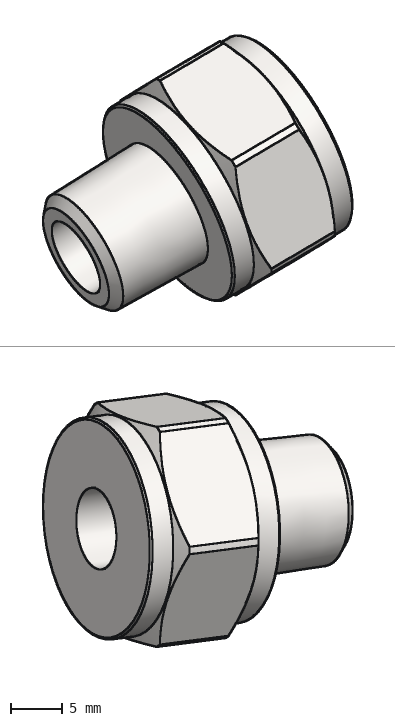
import cadquery as cq
import math

total_length = 25.5
spigot_length = 11.0
collar_length = 2.5

across_flats = 22.0
corner_diameter = 25.0
hex_chamfer_angle = 30.0

collar_diameter = 21.78
collar_chamfer = 0.2
spigot_base_diameter = 13.45
spigot_end_diameter = 12.93
spigot_chamfer = 1.0
bore_diameter = 8.0

body_length = total_length - spigot_length
hex_start = spigot_length + collar_length
hex_end = total_length - collar_length
hex_length = hex_end - hex_start


def revolve_profile(points):
    """Revolve a closed (radius, axial position) outline about the Y axis."""
    return cq.Workplane("XY").polyline(points).close().revolve(360, (0, 0, 0), (0, 1, 0))


def cylinder(diameter, start, length):
    """Round bar along +Y, starting at the given axial position."""
    return cq.Workplane("XZ", origin=(0, start, 0)).circle(diameter / 2).extrude(-length)


def make_spigot():
    """Tapered spigot with a chamfered tip."""
    base_radius = spigot_base_diameter / 2
    end_radius = spigot_end_diameter / 2
    return revolve_profile([
        (0, 0),
        (end_radius - spigot_chamfer, 0),
        (end_radius, spigot_chamfer),
        (base_radius, spigot_length),
        (0, spigot_length),
    ])


def make_collars():
    """Round body that shows as a collar on each side of the hexagon."""
    body = cylinder(collar_diameter, spigot_length, body_length)
    return body.faces("<Y or >Y").chamfer(collar_chamfer)


def make_hexagon():
    """Hexagon with turned corners and a conical chamfer at both ends."""
    across_corners = across_flats / math.cos(math.radians(30))
    prism = (
        cq.Workplane("XZ", origin=(0, hex_start, 0))
        .polygon(6, across_corners)
        .extrude(-hex_length)
    )
    inner_radius = collar_diameter / 2
    outer_radius = corner_diameter / 2
    chamfer_depth = (outer_radius - inner_radius) * math.tan(math.radians(hex_chamfer_angle))
    envelope = revolve_profile([
        (0, hex_start),
        (inner_radius, hex_start),
        (outer_radius, hex_start + chamfer_depth),
        (outer_radius, hex_end - chamfer_depth),
        (inner_radius, hex_end),
        (0, hex_end),
    ])
    return prism.intersect(envelope)


bore = cylinder(bore_diameter, 0, total_length)
fitting = make_spigot().union(make_collars()).union(make_hexagon()).cut(bore)

result = fitting.translate((0, -total_length / 2, 0))